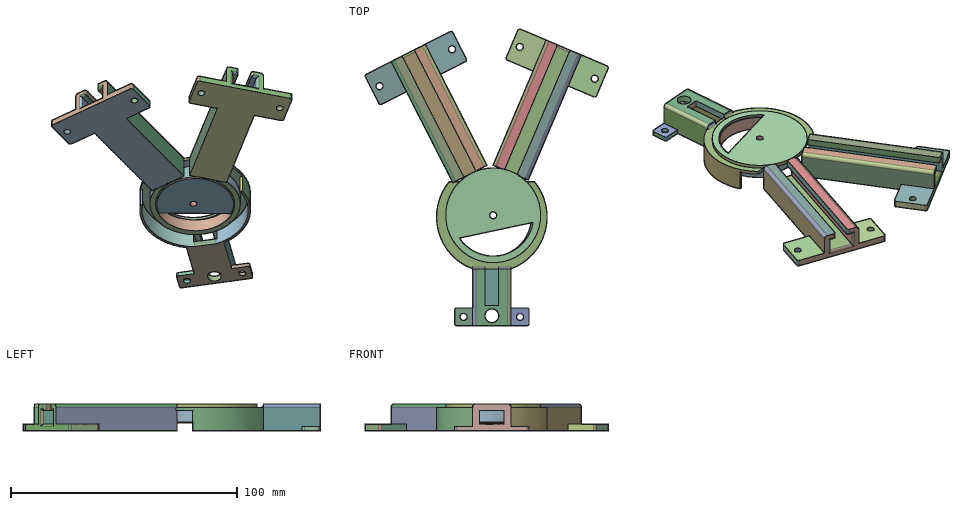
import cadquery as cq
import math

CHANNEL_WIDTH = 10.7
CHANNEL_HEIGHT = 6
WALL = 3
BEAM_WIDTH = 17
BEAM_HEIGHT = CHANNEL_HEIGHT + 2 * WALL
CHANNEL_TOP = WALL + CHANNEL_HEIGHT
SLOT_WIDTH = 6
TOP_FILLET = 1.5
CORNER_FILLET = 1
SCREW_HOLE_DIAMETER = 3

RING_WALL = 1
RING_RADIUS = 24.5
BORE_RADIUS = RING_RADIUS - RING_WALL
PLATE_THICKNESS = 1.5
RING_HEIGHT = CHANNEL_TOP + PLATE_THICKNESS
SLEEVE_INNER_RADIUS = 17.5
SLEEVE_OUTER_RADIUS = 20
SLEEVE_BOTTOM = 4
PLATE_BACK_Y = 15.6
WALL_BACK_Y = 8.3
ARM_START_Y = -math.sqrt(RING_RADIUS**2 - (BEAM_WIDTH / 2) ** 2)
ARM_END_Y = -48.2
ARM_ROOT_FILLET = 0.8
ARM_BRIDGE_LENGTH = 9
ARM_SLOT_END_Y = ARM_END_Y + ARM_BRIDGE_LENGTH
ARM_HOLE_DIAMETER = 6
ARM_HOLE_Y = ARM_END_Y + ARM_BRIDGE_LENGTH / 2
FOOT_WIDTH = 33
FOOT_DEPTH = 8
FOOT_THICKNESS = 2
FOOT_HOLE_SPACING = 25
FOOT_HOLE_Y = ARM_END_Y + FOOT_DEPTH / 2

DISC_X = 0.6
DISC_Y = 0.75
DISC_DIAMETER = 42
HUB_BOTTOM = 3.5
HUB_CHAMFER = 0.5
PIVOT_HOLE_DIAMETER = 3
WINDOW_RADIUS = 18
WINDOW_TILT = 12
WINDOW_OFFSET = 6.8

RAIL_LENGTH = 60.2
RAIL_START = 21.3
RAIL_END = RAIL_START + RAIL_LENGTH
MOUNT_WIDTH = 43.5
MOUNT_DEPTH = 15
MOUNT_THICKNESS = 3
MOUNT_HOLE_SPACING = 36
MOUNT_HOLE_INSET = 7.4
MOUTH_FILLET = 1
RAIL_ANGLES = (27, -23)


def block(width, y_start, y_end, z_start, z_end):
    """Box centred on X = 0 between the given Y and Z limits."""
    return cq.Workplane("XY").box(
        width, y_end - y_start, z_end - z_start, centered=(True, False, False)
    ).translate((0, y_start, z_start))


def cylinder(radius, z_start, z_end):
    return cq.Workplane("XY").workplane(offset=z_start).circle(radius).extrude(z_end - z_start)


def beam(y_start, y_end):
    """Solid beam along Y with rounded upper long edges."""
    blank = block(BEAM_WIDTH, y_start, y_end, 0, BEAM_HEIGHT)
    return blank.edges("|Y and >Z").fillet(TOP_FILLET)


def mounting_plate(width, y_start, y_end, thickness, hole_spacing, hole_y):
    """Plate with rounded corners and a screw hole near each end."""
    plate = block(width, y_start, y_end, 0, thickness).edges("|Z").fillet(CORNER_FILLET)
    holes = (
        cq.Workplane("XY")
        .pushPoints([(-hole_spacing / 2, hole_y), (hole_spacing / 2, hole_y)])
        .circle(SCREW_HOLE_DIAMETER / 2)
        .extrude(thickness)
    )
    return plate.cut(holes)


def make_ring():
    ring = cylinder(RING_RADIUS, 0, RING_HEIGHT)
    ring = ring.cut(cylinder(BORE_RADIUS, 0, CHANNEL_TOP))
    ring = ring.cut(block(2 * RING_RADIUS, WALL_BACK_Y, RING_RADIUS, 0, CHANNEL_TOP))
    ring = ring.cut(block(2 * RING_RADIUS, PLATE_BACK_Y, RING_RADIUS, 0, RING_HEIGHT))
    return ring.cut(block(BEAM_WIDTH, -RING_RADIUS, ARM_START_Y, 0, RING_HEIGHT))


def make_housing():
    foot = mounting_plate(
        FOOT_WIDTH, ARM_END_Y, ARM_END_Y + FOOT_DEPTH, FOOT_THICKNESS, FOOT_HOLE_SPACING, FOOT_HOLE_Y
    )
    housing = make_ring().union(beam(ARM_END_Y, ARM_START_Y)).union(foot)

    root = (
        cq.Workplane("YZ", origin=(-BEAM_WIDTH / 2, 0, 0))
        .moveTo(ARM_START_Y, RING_HEIGHT)
        .lineTo(ARM_START_Y + ARM_ROOT_FILLET, RING_HEIGHT)
        .radiusArc((ARM_START_Y, RING_HEIGHT + ARM_ROOT_FILLET), ARM_ROOT_FILLET)
        .close()
        .extrude(BEAM_WIDTH)
    )
    housing = housing.union(root)

    housing = housing.cut(block(CHANNEL_WIDTH, ARM_END_Y, -SLEEVE_OUTER_RADIUS, WALL, CHANNEL_TOP))
    housing = housing.cut(block(SLOT_WIDTH, ARM_SLOT_END_Y, ARM_START_Y, CHANNEL_TOP, BEAM_HEIGHT))
    slot_through_root = block(
        SLOT_WIDTH, ARM_START_Y, ARM_START_Y + ARM_ROOT_FILLET, RING_HEIGHT, BEAM_HEIGHT
    )
    housing = housing.cut(slot_through_root)
    arm_hole = cylinder(ARM_HOLE_DIAMETER / 2, 0, BEAM_HEIGHT).translate((0, ARM_HOLE_Y, 0))
    housing = housing.cut(arm_hole)

    back_cut = block(2 * RING_RADIUS, PLATE_BACK_Y, RING_RADIUS, 0, RING_HEIGHT)
    sleeve = cylinder(SLEEVE_OUTER_RADIUS, SLEEVE_BOTTOM, RING_HEIGHT).cut(back_cut)
    housing = housing.union(sleeve)
    return housing.cut(cylinder(SLEEVE_INNER_RADIUS, SLEEVE_BOTTOM, RING_HEIGHT))


def make_gate():
    centre = (DISC_X, DISC_Y, 0)

    open_side = block(2 * DISC_DIAMETER, -DISC_DIAMETER, -WINDOW_OFFSET, 0, BEAM_HEIGHT)
    open_side = open_side.rotate((0, 0, 0), (0, 0, 1), WINDOW_TILT).translate(centre)

    window = cylinder(WINDOW_RADIUS, 0, BEAM_HEIGHT).translate(centre).intersect(open_side)
    disc = cylinder(DISC_DIAMETER / 2, RING_HEIGHT, BEAM_HEIGHT).translate(centre).cut(window)

    hub = cylinder(SLEEVE_INNER_RADIUS, HUB_BOTTOM, RING_HEIGHT).cut(open_side)
    hub = hub.faces("<Z").chamfer(HUB_CHAMFER)

    pivot_hole = cylinder(PIVOT_HOLE_DIAMETER / 2, 0, BEAM_HEIGHT).translate(centre)
    return disc.union(hub).cut(pivot_hole)


def make_rail():
    """Rail along +Y, with its mounting plate flush with the outer end."""
    mount = mounting_plate(
        MOUNT_WIDTH,
        RAIL_END - MOUNT_DEPTH,
        RAIL_END,
        MOUNT_THICKNESS,
        MOUNT_HOLE_SPACING,
        RAIL_END - MOUNT_HOLE_INSET,
    )
    rail = beam(RAIL_START, RAIL_END).union(mount)
    rail = rail.cut(block(CHANNEL_WIDTH, RAIL_START, RAIL_END, WALL, CHANNEL_TOP))
    rail = rail.cut(block(SLOT_WIDTH, RAIL_START, RAIL_END, CHANNEL_TOP, BEAM_HEIGHT))
    margin = MOUTH_FILLET / 10
    mouth = cq.selectors.BoxSelector(
        (-CHANNEL_WIDTH / 2 - margin, RAIL_END - margin, WALL - margin),
        (CHANNEL_WIDTH / 2 + margin, RAIL_END + margin, BEAM_HEIGHT - margin),
    )
    return rail.edges(mouth).fillet(MOUTH_FILLET)


gate = make_gate()
rails = [make_rail().rotate((0, 0, 0), (0, 0, 1), angle).cut(gate) for angle in RAIL_ANGLES]
housing = make_housing()
for rail in rails:
    housing = housing.cut(rail)

result = cq.Compound.makeCompound([housing.val(), gate.val(), *[rail.val() for rail in rails]])